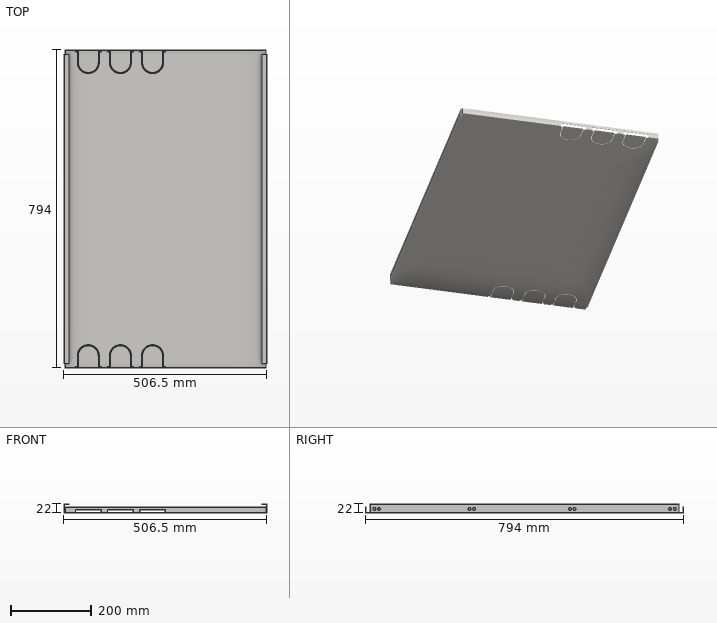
import cadquery as cq

length = 794.0
width = 506.5
side_height = 22.0
thickness = 1.2

end_height = 15.0
end_inset = 2.0
side_setback = 11.0
lip_width = 12.0

hole_diameter = 6.0
hole_height = 10.0
hole_pitch = 12.0
hole_pair_centers = (-369.0, -132.0, 119.0, 369.0)

knockout_width = 52.5
knockout_depth = 57.0
knockout_pitch = 80.0
knockout_first_x = -193.0
knockout_count = 3
slit_width = 1.4
bridge_width = 2.0
bridge_distance = 25.0
window_width = 63.5
window_top = 8.0
window_reach = 3.6


def block(x_size, y_size, z_size, x=0.0, y=0.0, z=0.0):
    """Box centred on x and y, standing on z."""
    return cq.Workplane("XY").box(x_size, y_size, z_size, centered=(True, True, False)).translate((x, y, z))


def tongue(half_width, tip_y):
    """Round-tipped tongue that starts at the -Y end of the tray."""
    end_y = -length / 2
    arc_y = tip_y - half_width
    return (
        cq.Workplane("XY")
        .moveTo(-half_width, end_y)
        .lineTo(-half_width, arc_y)
        .threePointArc((0, tip_y), (half_width, arc_y))
        .lineTo(half_width, end_y)
        .close()
        .extrude(thickness)
    )


def knockout_cut():
    """Metal removed for one knockout at the -Y end, centred on x = 0."""
    end_y = -length / 2
    tip_y = end_y + knockout_depth
    outer = tongue((knockout_width + slit_width) / 2, tip_y + slit_width / 2)
    inner = tongue((knockout_width - slit_width) / 2, tip_y - slit_width / 2)
    bridges = block(window_width, bridge_width, thickness, y=end_y + bridge_distance)
    slit = outer.cut(inner).cut(bridges)
    window = block(window_width, 2 * window_reach, window_top, y=end_y).cut(inner)
    return slit.union(window)


def tray_body():
    floor_width = width - 2 * end_inset
    side_length = length - 2 * side_setback
    body = block(floor_width, length, thickness)
    for sign in (-1, 1):
        end = block(floor_width, thickness, end_height, y=sign * (length - thickness) / 2)
        wall = block(thickness, side_length, side_height, x=sign * (width - thickness) / 2)
        base_strip = block(lip_width, side_length, thickness, x=sign * (width - lip_width) / 2)
        lip = base_strip.translate((0, 0, side_height - thickness))
        body = body.union(end).union(wall).union(base_strip).union(lip)
    return body


def side_holes():
    hole_centers = [
        (pair_y + offset, hole_height)
        for pair_y in hole_pair_centers
        for offset in (-hole_pitch / 2, hole_pitch / 2)
    ]
    return cq.Workplane("YZ").pushPoints(hole_centers).circle(hole_diameter / 2).extrude(width / 2, both=True)


result = tray_body().cut(side_holes())
for index in range(knockout_count):
    front_cut = knockout_cut().translate((knockout_first_x + index * knockout_pitch, 0, 0))
    result = result.cut(front_cut).cut(front_cut.mirror("XZ"))